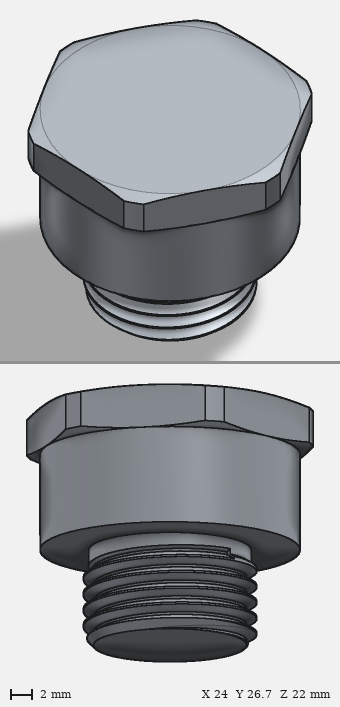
import cadquery as cq
import math

total_height = 22.0
hex_height = 4.0
shoulder_z = 9.0
neck_bottom_z = 7.5

across_flats = 24.0
across_corners = 26.7
corner_chamfer_angle = 15.0

body_diameter = across_flats
neck_diameter = 15.0
thread_diameter = 16.0

pitch = 1.5
flank_half_angle = 30.0
crest_flat = pitch / 8
sharp_height = pitch / 2 / math.tan(math.radians(flank_half_angle))
thread_depth = sharp_height * 17 / 24
lead_in = 0.93
thread_start_angle = 30.0
groove_end_z = 7.65
groove_turns = 6
cutter_overshoot = 0.08
cut_tolerance = 0.001

flat_radius = across_flats / 2
corner_radius = across_corners / 2
thread_radius = thread_diameter / 2
neck_radius = neck_diameter / 2
root_radius = thread_radius - thread_depth
hex_bottom_z = total_height - hex_height


def revolve_profile(points):
    """Revolve a closed (radius, z) outline about the Z axis."""
    return cq.Workplane("XZ").polyline(points).close().revolve(360, (0, 0), (0, 1))


def make_head():
    """Hexagon with corners turned down and coned off at both ends."""
    prism = (
        cq.Workplane("XY", origin=(0, 0, hex_bottom_z))
        .polygon(6, across_flats, circumscribed=True)
        .extrude(hex_height)
    )
    chamfer_height = (corner_radius - flat_radius) * math.tan(math.radians(corner_chamfer_angle))
    turned_envelope = revolve_profile([
        (0, hex_bottom_z),
        (flat_radius, hex_bottom_z),
        (corner_radius, hex_bottom_z + chamfer_height),
        (corner_radius, total_height - chamfer_height),
        (flat_radius, total_height),
        (0, total_height),
    ])
    return prism.intersect(turned_envelope)


def make_body():
    """Round body under the head."""
    return (
        cq.Workplane("XY", origin=(0, 0, shoulder_z))
        .circle(body_diameter / 2)
        .extrude(hex_bottom_z - shoulder_z)
    )


def make_shank():
    """Neck and thread blank, with a cone at each end of the thread."""
    start_drop = (thread_radius - neck_radius) * math.tan(math.radians(thread_start_angle))
    return revolve_profile([
        (0, 0),
        (thread_radius - lead_in, 0),
        (thread_radius, lead_in),
        (thread_radius, neck_bottom_z - start_drop),
        (neck_radius, neck_bottom_z),
        (neck_radius, shoulder_z),
        (0, shoulder_z),
    ])


def make_thread_groove():
    """Helical cutter with a trapezoid section, ending square at the +X side."""
    flank_slope = math.tan(math.radians(flank_half_angle))
    outer_half_width = (pitch - crest_flat) / 2 + cutter_overshoot * flank_slope
    root_half_width = (pitch - crest_flat) / 2 - thread_depth * flank_slope
    outer_radius = thread_radius + cutter_overshoot
    length = groove_turns * pitch
    start_z = groove_end_z - length
    path = cq.Wire.makeHelix(pitch, length, root_radius, center=cq.Vector(0, 0, start_z))
    section = cq.Workplane("XZ").polyline([
        (root_radius, start_z - root_half_width),
        (outer_radius, start_z - outer_half_width),
        (outer_radius, start_z + outer_half_width),
        (root_radius, start_z + root_half_width),
    ]).close()
    return section.sweep(cq.Workplane(path), isFrenet=True)


shank_blank = make_shank().rotate((0, 0, 0), (0, 0, 1), 180)
threaded_shank = shank_blank.cut(make_thread_groove(), tol=cut_tolerance)
result = make_head().union(make_body()).union(threaded_shank).solids()